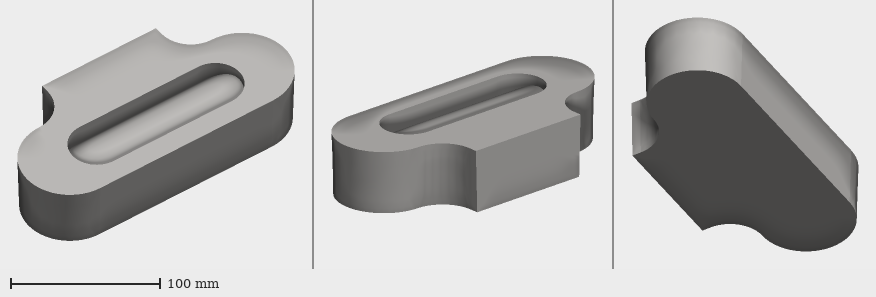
import cadquery as cq
import math

LENGTH = 212.4
WIDTH = 101.0
HEIGHT = 45.0
LOBE_RADIUS = 35.3
TAB_WIDTH = 93.9
DRAFT_ANGLE = 1.5

SLOT_LENGTH = 137.0
SLOT_WIDTH = 39.3

BAR_RADIUS = 27.2
BAR_DEPTH_BELOW_TOP = 7.0

lobe_center_y = LENGTH / 2 - LOBE_RADIUS
tab_half_width = TAB_WIDTH / 2
tab_face_x = LOBE_RADIUS - WIDTH
cove_radius = lobe_center_y - tab_half_width
cove_center_x = -LOBE_RADIUS - cove_radius
cove_mid_x = cove_center_x + cove_radius * math.cos(math.radians(45))
cove_mid_y = lobe_center_y - cove_radius * math.sin(math.radians(45))

bar_axis_z = HEIGHT - BAR_DEPTH_BELOW_TOP - BAR_RADIUS
bar_length = SLOT_LENGTH + 2 * BAR_RADIUS - SLOT_WIDTH


def make_block():
    """Drafted block with two round lobes; the flat tab face stays vertical."""
    trim_length = cove_radius
    rough_tab_x = tab_face_x - trim_length
    block = (
        cq.Workplane("XY", origin=(0, 0, HEIGHT))
        .moveTo(rough_tab_x, -tab_half_width)
        .lineTo(cove_center_x, -tab_half_width)
        .threePointArc((cove_mid_x, -cove_mid_y), (-LOBE_RADIUS, -lobe_center_y))
        .threePointArc((0, -LENGTH / 2), (LOBE_RADIUS, -lobe_center_y))
        .lineTo(LOBE_RADIUS, lobe_center_y)
        .threePointArc((0, LENGTH / 2), (-LOBE_RADIUS, lobe_center_y))
        .threePointArc((cove_mid_x, cove_mid_y), (cove_center_x, tab_half_width))
        .lineTo(rough_tab_x, tab_half_width)
        .close()
        .extrude(-HEIGHT, taper=DRAFT_ANGLE)
    )
    trim = cq.Workplane("XY").box(
        trim_length, LENGTH, HEIGHT, centered=(False, True, False)
    ).translate((rough_tab_x, 0, 0))
    return block.cut(trim)


def make_bar():
    """Bar along Y with a half-round top and straight sides down to the base."""
    return (
        cq.Workplane("XZ")
        .moveTo(-BAR_RADIUS, 0)
        .lineTo(BAR_RADIUS, 0)
        .lineTo(BAR_RADIUS, bar_axis_z)
        .threePointArc((0, bar_axis_z + BAR_RADIUS), (-BAR_RADIUS, bar_axis_z))
        .close()
        .extrude(bar_length / 2, both=True)
    )


def make_housing(bar):
    """Block with a slot in its top and a recess that fits the bar."""
    slot = (
        cq.Workplane("XY", origin=(0, 0, bar_axis_z))
        .slot2D(SLOT_LENGTH, SLOT_WIDTH, angle=90)
        .extrude(HEIGHT - bar_axis_z)
    )
    return make_block().cut(slot).cut(bar).solids()


bar = make_bar()
housing = make_housing(bar)

result = cq.Compound.makeCompound([housing.val(), bar.val()])